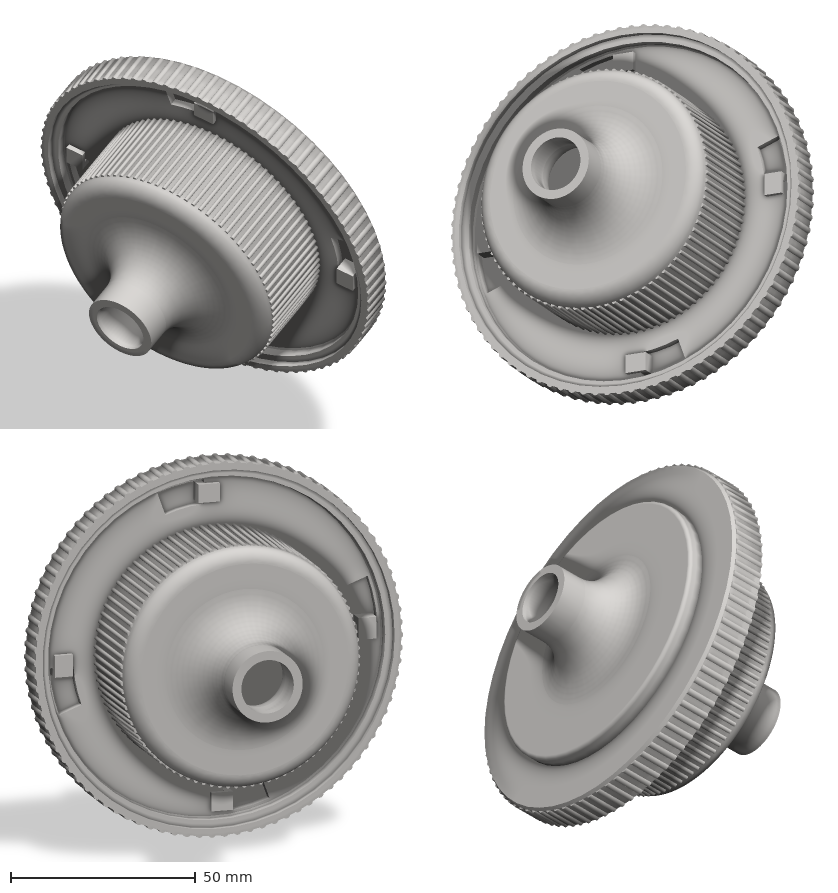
import cadquery as cq
import math


neck_radius = 10.0
neck_length = 7.5
flare_radius = 12.5
wall = 2.5
flare_base_radius = neck_radius + flare_radius

ring_radius = 52.0
ring_width = 10.0
ring_chamfer_length = 0.9
ring_chamfer_drop = 0.5
flange_radius = 39.0
flange_fillet = 1.0
flange_thickness = 4.3
flange_rear_y = ring_width + flange_thickness
rim_radius = 50.1
rim_depth = 1.8
recess_radius = 48.0
seat_y = 6.8

plate_thickness = 2.2
plate_radius = 47.6
plate_front_y = seat_y - plate_thickness
drum_radius = 33.5
drum_fillet = 4.0
knurl_front_y = -19.0
drum_front_y = knurl_front_y - drum_fillet
chamber_radius = drum_radius - wall

ridge_count = 90
ring_ridge_radius = 1.0
ring_ridge_height = 0.5
drum_ridge_radius = 0.58
drum_ridge_height = 0.6

bayonet_count = 4
window_inner_radius = 39.9
window_outer_radius = 46.8
window_end_angle = 20.0
window_straight_x = -2.7
hook_left_x = -4.9
hook_right_x = 1.2
hook_bottom_z = 40.7
hook_top_z = 45.8
head_thickness = 1.4
head_clearance = 0.7

filter_thickness = 1.0
filter_rear_y = seat_y + filter_thickness


def revolve_about_y(profile):
    """Turn a closed (radius, y) profile a full turn about the Y axis."""
    return profile.close().revolve(360, (0, 0, 0), (0, 1, 0))


def disc(radius, y_start, y_end):
    """Cylinder on the Y axis between two Y positions."""
    return cq.Workplane("XZ", origin=(0, y_end, 0)).circle(radius).extrude(y_end - y_start)


def funnel(base_y, direction, hollow=False):
    """Neck and flare rising from a wall's outer face; `hollow` gives the space inside them."""
    offset = wall if hollow else 0
    arc_radius = flare_radius + offset
    inner_radius = neck_radius - offset
    base = base_y - direction * offset
    neck_start = base_y + direction * flare_radius
    neck_end = neck_start + direction * neck_length
    diagonal = arc_radius * math.sqrt(0.5)
    arc_middle = (flare_base_radius - diagonal, neck_start - direction * diagonal)
    return revolve_about_y(
        cq.Workplane("XY")
        .moveTo(0, base)
        .lineTo(flare_base_radius, base)
        .threePointArc(arc_middle, (inner_radius, neck_start))
        .lineTo(inner_radius, neck_end)
        .lineTo(0, neck_end)
    )


def ridges(base_radius, ridge_radius, ridge_height, y_start, y_end):
    """Round rods partly sunk in a cylinder, standing out of it by the ridge height."""
    return (
        cq.Workplane("XZ", origin=(0, y_end, 0))
        .polarArray(base_radius + ridge_height - ridge_radius, 0, 360, ridge_count)
        .circle(ridge_radius)
        .extrude(y_end - y_start)
    )


def around_axis(shape):
    """Copies of the topmost bayonet feature at equal turns about the Y axis."""
    step = 360 / bayonet_count
    return [shape.rotate((0, 0, 0), (0, 1, 0), step * i) for i in range(bayonet_count)]


def window():
    """Space of one plate window: an arc slot with one radial and one straight end."""
    band = disc(window_outer_radius, plate_front_y, seat_y).cut(
        disc(window_inner_radius, plate_front_y, seat_y)
    )
    reach = 2 * window_outer_radius
    angle = math.radians(window_end_angle)
    straight_z = -window_straight_x / math.tan(angle)
    sector = (
        cq.Workplane("XZ", origin=(0, seat_y, 0))
        .moveTo(window_straight_x, straight_z)
        .lineTo(window_straight_x, reach)
        .lineTo(-reach * math.tan(angle), reach)
        .close()
        .extrude(plate_thickness)
    )
    return band.intersect(sector)


def hook():
    """Post standing in a window, with a head that overhangs the plate beside it."""

    def block(right_x, y_start, y_end):
        size = (right_x - hook_left_x, y_end - y_start, hook_top_z - hook_bottom_z)
        corner = (hook_left_x, y_start, hook_bottom_z)
        return cq.Workplane("XY").box(*size, centered=False).translate(corner)

    head_rear_y = plate_front_y - head_clearance
    post = block(window_straight_x, head_rear_y, seat_y)
    head = block(hook_right_x, head_rear_y - head_thickness, head_rear_y)
    return post.union(head)


def ring_chamfer_waste():
    """Wedge-section ring that bevels the rear edge of the knurled ring."""
    return revolve_about_y(
        cq.Workplane("XY")
        .moveTo(ring_radius, ring_width - ring_chamfer_length)
        .lineTo(ring_radius, ring_width)
        .lineTo(ring_radius - ring_chamfer_drop, ring_width)
    )


def stepped_recess():
    """Open recess of the ring: rim step, main wall, bevel and a fitting seat for the plate."""
    bevel = recess_radius - plate_radius
    return revolve_about_y(
        cq.Workplane("XY")
        .lineTo(rim_radius, 0)
        .lineTo(rim_radius, rim_depth)
        .lineTo(recess_radius, rim_depth)
        .lineTo(recess_radius, plate_front_y - bevel)
        .lineTo(plate_radius, plate_front_y)
        .lineTo(plate_radius, seat_y)
        .lineTo(0, seat_y)
    )


def make_rear_housing():
    ring = disc(ring_radius, 0, ring_width).cut(ring_chamfer_waste())
    knurl = ridges(ring_radius, ring_ridge_radius, ring_ridge_height, 0, ring_width - ring_chamfer_length)
    flange = disc(flange_radius, 0, flange_rear_y).faces(">Y").edges().fillet(flange_fillet)
    body = ring.union(knurl).union(flange).union(funnel(flange_rear_y, 1))

    body = body.cut(stepped_recess())
    body = body.cut(disc(drum_radius, seat_y, filter_rear_y))
    body = body.cut(disc(chamber_radius, filter_rear_y, flange_rear_y - wall))
    body = body.cut(funnel(flange_rear_y, 1, hollow=True))
    for bayonet_hook in around_axis(hook()):
        body = body.union(bayonet_hook)
    return body


def make_front_cap():
    plate = disc(plate_radius, plate_front_y, seat_y)
    for opening in around_axis(window()):
        plate = plate.cut(opening)
    drum = disc(drum_radius, drum_front_y, seat_y).faces("<Y").edges().fillet(drum_fillet)
    knurl = ridges(drum_radius, drum_ridge_radius, drum_ridge_height, knurl_front_y, plate_front_y)
    body = plate.union(drum).union(knurl).union(funnel(drum_front_y, -1))

    chamber = disc(chamber_radius, drum_front_y + wall, seat_y)
    chamber = chamber.faces("<Y").edges().fillet(drum_fillet - wall)
    body = body.cut(chamber)
    return body.cut(funnel(drum_front_y, -1, hollow=True))


def make_filter():
    return disc(drum_radius, seat_y, filter_rear_y)


rear_housing = make_rear_housing()
front_cap = make_front_cap()
filter_disc = make_filter()

result = cq.Compound.makeCompound([rear_housing.val(), front_cap.val(), filter_disc.val()])